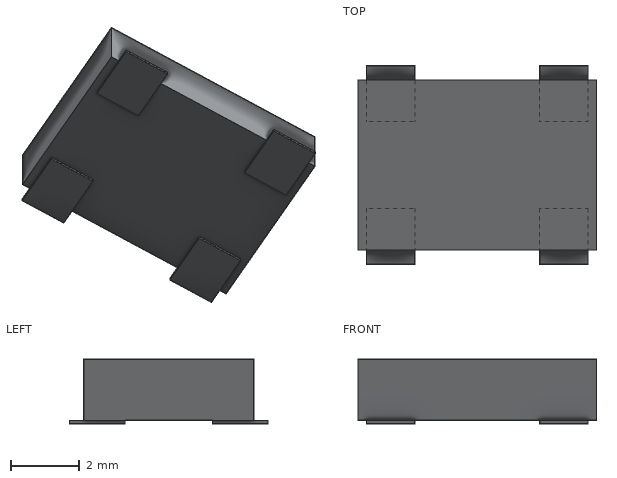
import cadquery as cq

housing_length = 7.0
housing_width = 5.0
housing_height = 1.8

terminal_width = 1.43
terminal_length = 1.64
terminal_thickness = 0.1
terminal_pitch = 5.08
terminal_span = 5.84

terminal_x = terminal_pitch / 2
terminal_y = (terminal_span - terminal_length) / 2


def make_housing():
    """Plain block resting on top of the terminals."""
    return (
        cq.Workplane("XY", origin=(0, 0, terminal_thickness))
        .box(housing_length, housing_width, housing_height, centered=(True, True, False))
    )


def make_terminal(x_side, y_side):
    """Flat strip reaching out from under the housing; each side is -1 or 1."""
    return (
        cq.Workplane("XY", origin=(x_side * terminal_x, y_side * terminal_y, 0))
        .box(terminal_width, terminal_length, terminal_thickness, centered=(True, True, False))
    )


housing = make_housing()
terminals = [make_terminal(x_side, y_side) for x_side in (-1, 1) for y_side in (-1, 1)]

result = cq.Compound.makeCompound(
    [housing.val(), *[terminal.val() for terminal in terminals]]
)